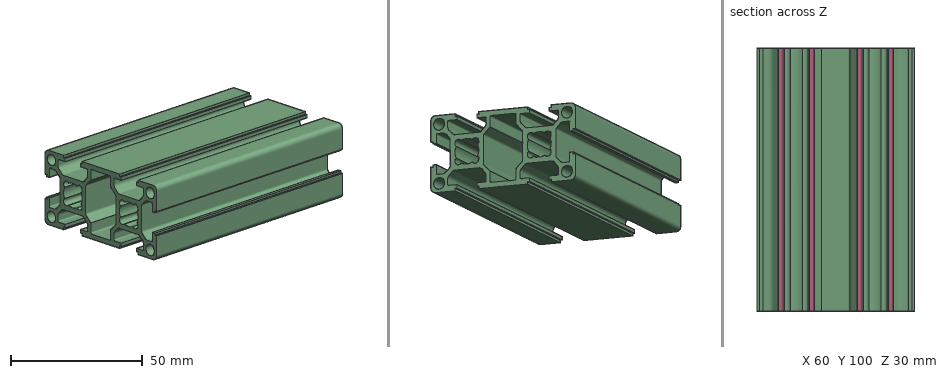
import cadquery as cq

CELL = 30.0
CELL_COUNT = 2
WIDTH = CELL * CELL_COUNT
HEIGHT = CELL
LENGTH = 100.0
CORNER_RADIUS = 2.0

MOUTH_HALF = 4.9
MOUTH_DEPTH = 1.0
NECK_HALF = 4.1
LIP_DEPTH = 2.35
SLOT_HALF = 7.95
FLOOR_DEPTH = 8.1
CORE_HALF = CELL / 2 - FLOOR_DEPTH
DIAGONAL_OFFSET = 1.4
LIP_FILLET = 0.5
SHOULDER_FILLET = 2.0
FLOOR_FILLET = 1.0
PICK_MARGIN = 0.1

CORNER_HOLE_DIAMETER = 4.5
CORNER_HOLE_INSET = 3.5
CORE_DIAMETER = 9.9
CORE_LOBE_RADIUS = 1.5
CORE_LOBE_OFFSET = CORE_DIAMETER / 2 - CORE_LOBE_RADIUS

CHAMBER_HALF = 5.35
CHAMBER_WALL = 2.0
CHAMBER_FILLET = 0.6
DIAGONAL_WEB = 2.45

CELL_CENTERS = [CELL * (i - (CELL_COUNT - 1) / 2) for i in range(CELL_COUNT)]
SIGNS = (-1, 1)
ORIGIN = (0, 0, 0)
Y_DIRECTION = (0, 1, 0)


def extrude(sketch):
    """Extrude a sketch on the XZ plane over the full length, centred on Y = 0."""
    return sketch.extrude(LENGTH / 2, both=True)


def make_slot():
    """T-slot cutter opening towards +Z, for a cell centred on the origin."""
    face = CELL / 2
    shoulder_depth = face - SLOT_HALF - DIAGONAL_OFFSET
    floor_half = CORE_HALF - DIAGONAL_OFFSET
    right_side = [
        (MOUTH_HALF, face),
        (MOUTH_HALF, face - MOUTH_DEPTH),
        (NECK_HALF, face - MOUTH_DEPTH),
        (NECK_HALF, face - LIP_DEPTH),
        (SLOT_HALF, face - LIP_DEPTH),
        (SLOT_HALF, face - shoulder_depth),
        (floor_half, face - FLOOR_DEPTH),
    ]
    left_side = [(-x, z) for x, z in reversed(right_side)]
    slot = extrude(cq.Workplane("XZ").polyline(right_side + left_side).close())

    corner_fillets = [
        (SLOT_HALF, LIP_DEPTH, LIP_FILLET),
        (SLOT_HALF, shoulder_depth, SHOULDER_FILLET),
        (floor_half, FLOOR_DEPTH, FLOOR_FILLET),
    ]
    for half, depth, radius in corner_fillets:
        for sign in SIGNS:
            x = sign * half
            z = face - depth
            edge_zone = cq.selectors.BoxSelector(
                (x - PICK_MARGIN, -LENGTH, z - PICK_MARGIN),
                (x + PICK_MARGIN, LENGTH, z + PICK_MARGIN),
            )
            slot = slot.edges("|Y").edges(edge_zone).fillet(radius)
    return slot


def make_core_bore():
    """Round bore with a lobe in each of its four corners."""
    bore = extrude(cq.Workplane("XZ").circle(CORE_DIAMETER / 2))
    lobe_centers = [(i * CORE_LOBE_OFFSET, j * CORE_LOBE_OFFSET) for i in SIGNS for j in SIGNS]
    lobes = extrude(cq.Workplane("XZ").pushPoints(lobe_centers).circle(CORE_LOBE_RADIUS))
    return bore.union(lobes)


def make_chamber():
    """Middle chamber: a tall box with a wider waist between the two cores."""
    top = HEIGHT / 2 - CHAMBER_WALL
    box = extrude(cq.Workplane("XZ").rect(2 * CHAMBER_HALF, 2 * top))
    box = box.edges("|Y").fillet(CHAMBER_FILLET)

    wide_half = CELL / 2 - CORE_HALF
    diagonal_rise = CELL / 2 + DIAGONAL_OFFSET - DIAGONAL_WEB
    upper_right = [
        (wide_half, diagonal_rise - wide_half),
        (CHAMBER_HALF, diagonal_rise - CHAMBER_HALF),
    ]
    upper_left = [(-x, z) for x, z in reversed(upper_right)]
    upper = upper_right + upper_left
    lower = [(x, -z) for x, z in reversed(upper)]
    waist = extrude(cq.Workplane("XZ").polyline(upper + lower).close())
    waist = waist.faces("<X or >X").edges("|Y").fillet(FLOOR_FILLET)
    return box.union(waist)


def make_profile():
    """Rounded bar with all slots, bores, holes and the chamber cut through its length."""
    body = cq.Workplane("XY").box(WIDTH, LENGTH, HEIGHT).edges("|Y").fillet(CORNER_RADIUS)

    slot = make_slot()
    core_bore = make_core_bore()
    for x in CELL_CENTERS:
        body = body.cut(core_bore.translate((x, 0, 0)))
        for angle in (0, 180):
            body = body.cut(slot.rotate(ORIGIN, Y_DIRECTION, angle).translate((x, 0, 0)))
    for x, angle in ((CELL_CENTERS[0], -90), (CELL_CENTERS[-1], 90)):
        body = body.cut(slot.rotate(ORIGIN, Y_DIRECTION, angle).translate((x, 0, 0)))

    body = body.cut(make_chamber())

    hole_x = WIDTH / 2 - CORNER_HOLE_INSET
    hole_z = HEIGHT / 2 - CORNER_HOLE_INSET
    hole_centers = [(i * hole_x, j * hole_z) for i in SIGNS for j in SIGNS]
    holes = extrude(cq.Workplane("XZ").pushPoints(hole_centers).circle(CORNER_HOLE_DIAMETER / 2))
    return body.cut(holes)


result = make_profile()